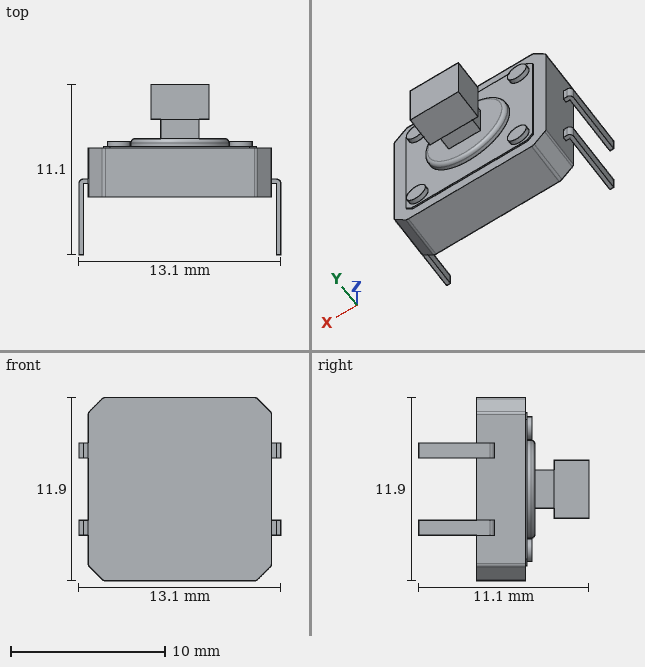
import cadquery as cq

overall_width = 13.1
body_size = 11.9
body_depth = 3.2
corner_chamfer = 1.0
corner_radius = 0.3

plate_size = 9.93
plate_thickness = 0.09
plate_chamfer = 0.45

peg_diameter = 1.49
peg_spacing = 7.91
peg_height = 0.42

collar_diameter = 6.37
collar_height = 0.6
collar_radius = 0.28

stem_size = 2.5
cap_size = 3.77
cap_depth = 2.27
actuator_height = 4.11

pin_thickness = 0.3
pin_width = 1.0
pin_spacing = 5.0
pin_shoulder = 1.18
pin_length = 3.75


def square_block(size, y_start, y_end):
    """Square block centred on the Y axis between two Y positions."""
    depth = y_end - y_start
    return cq.Workplane("XY").box(size, depth, size).translate((0, y_start + depth / 2, 0))


def front_plane():
    """Sketch plane on the housing front; negative extrusions run toward +Y."""
    return cq.Workplane("XZ", origin=(0, body_depth, 0))


def make_housing():
    block = square_block(body_size, 0, body_depth)
    return block.edges("|Y").chamfer(corner_chamfer).edges("|Y").fillet(corner_radius)


def make_cover_plate():
    plate = square_block(plate_size, body_depth, body_depth + plate_thickness)
    return plate.edges("|Y").chamfer(plate_chamfer)


def make_pegs():
    centres = front_plane().rarray(peg_spacing, peg_spacing, 2, 2)
    return centres.circle(peg_diameter / 2).extrude(-peg_height)


def make_collar():
    collar = front_plane().circle(collar_diameter / 2).extrude(-collar_height)
    return collar.faces(">Y").edges().fillet(collar_radius)


def make_actuator():
    cap_face = body_depth + actuator_height
    cap_back = cap_face - cap_depth
    stem = square_block(stem_size, body_depth, cap_back)
    return stem.union(square_block(cap_size, cap_back, cap_face))


def make_pin(side, z_centre):
    """L-shaped pin on the +X (side = 1) or -X (side = -1) face, rounded at its outer bend."""
    wall_x = side * body_size / 2
    outer_x = side * overall_width / 2
    inner_x = outer_x - side * pin_thickness
    profile = [
        (wall_x, pin_shoulder),
        (outer_x, pin_shoulder),
        (outer_x, -pin_length),
        (inner_x, -pin_length),
        (inner_x, pin_shoulder - pin_thickness),
        (wall_x, pin_shoulder - pin_thickness),
    ]
    plane = cq.Workplane("XY", origin=(0, 0, z_centre))
    pin = plane.polyline(profile).close().extrude(pin_width / 2, both=True)
    outer_bend = cq.selectors.NearestToPointSelector((outer_x, pin_shoulder, z_centre))
    return pin.edges("|Z").edges(outer_bend).fillet(pin_thickness)


result = make_housing()
for feature in (make_cover_plate(), make_pegs(), make_collar(), make_actuator()):
    result = result.union(feature)
for side in (-1, 1):
    for z_centre in (-pin_spacing / 2, pin_spacing / 2):
        result = result.union(make_pin(side, z_centre))